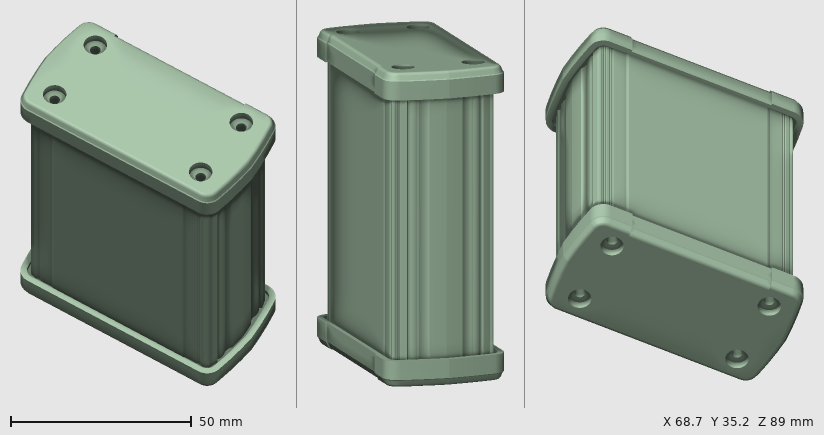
import cadquery as cq
import math

overall_length = 89.0
cap_half_width = 34.35
cap_half_depth = 17.6

cap_height = 7.6
cap_corner_x = 31.95
cap_lap = 7.1
cap_lap_half_width = 34.5
cap_corner_radius = 4.45
rim_width = 1.8
cap_floor = 6.2
recess_depth = cap_height - cap_floor

slope_height = 2.0
edge_chamfer = 0.3
chamfer_taper = 45
slope_taper = 23.5
edge_fillet = 1.2

relief_depth = 0.5
relief_half_width = 21.5

hole_half_spacing_x = 24.2
hole_half_spacing_y = 10.2
hole_diameter = 2.9
counterbore_diameter = 6.5
counterbore_depth = 2.5

housing_length = overall_length - 2 * cap_floor
housing_half_width = 31.5
panel_y = 15.0
panel_half_width = 21.4
panel_ramp = 0.8
strip_y = 14.8
strip_half_width = 25.9

groove_pitch = 0.6
groove_depth = 0.3
strip_groove_count = 2
corner_groove_count = 6
corner_radius = 1.9
corner_center_x = 28.1
corner_center_y = strip_y - corner_radius

flank_x = 30.5
flank_y = 11.2
valley_x = 29.7
valley_y = 10.6
shoulder_x = 30.4
shoulder_outer_y = 8.2
shoulder_inner_y = 7.65
crown_edge_x = 31.1
crown_edge_y = 4.8
crown_bulge = 0.045
hollow_sag = 0.45
rib_bulge = 0.4


def bowed_middle(start, end, bow):
    """Point beside the middle of a chord, pushed by bow to the right of start -> end."""
    dx = end[0] - start[0]
    dy = end[1] - start[1]
    chord = math.hypot(dx, dy)
    return ((start[0] + end[0]) / 2 + bow * dy / chord, (start[1] + end[1]) / 2 - bow * dx / chord)


def corner_point(radius, angle):
    """Point on a circle about the centre of the housing corner, angle in degrees."""
    turn = math.radians(angle)
    return (corner_center_x + radius * math.cos(turn), corner_center_y + radius * math.sin(turn))


def grip_points():
    """Zigzag points of the V grooves on the strip and around the corner."""
    points = []
    for i in range(strip_groove_count):
        groove_start = strip_half_width + i * groove_pitch
        points.append((groove_start, strip_y))
        points.append((groove_start + groove_pitch / 2, strip_y - groove_depth))
    points.append((strip_half_width + strip_groove_count * groove_pitch, strip_y))

    groove_angle = 90 / corner_groove_count
    for i in range(corner_groove_count):
        ridge_angle = 90 - i * groove_angle
        points.append(corner_point(corner_radius, ridge_angle))
        points.append(corner_point(corner_radius - groove_depth, ridge_angle - groove_angle / 2))
    points.append(corner_point(corner_radius, 0))
    return points


def housing_quarter():
    """Open wire from the panel edge round the corner to the middle of the side."""
    panel_edge = (panel_half_width, panel_y)
    strip_start = (panel_half_width + panel_ramp, strip_y)
    flank = (flank_x, flank_y)
    valley = (valley_x, valley_y)
    shoulder_outer = (shoulder_x, shoulder_outer_y)
    shoulder_inner = (shoulder_x, shoulder_inner_y)
    crown_edge = (crown_edge_x, crown_edge_y)
    crown_middle = (housing_half_width, 0)
    return (
        cq.Workplane("XY")
        .polyline([panel_edge, strip_start, *grip_points(), flank, valley])
        .threePointArc(bowed_middle(valley, shoulder_outer, -rib_bulge), shoulder_outer)
        .lineTo(*shoulder_inner)
        .threePointArc(bowed_middle(shoulder_inner, crown_edge, hollow_sag), crown_edge)
        .threePointArc(bowed_middle(crown_edge, crown_middle, -crown_bulge), crown_middle)
        .wire()
        .val()
    )


def screw_positions():
    """Centres of the four screw holes."""
    return [(x, y) for x in (-hole_half_spacing_x, hole_half_spacing_x)
            for y in (-hole_half_spacing_y, hole_half_spacing_y)]


def make_housing():
    """Extruded housing between the floors of the two caps."""
    quarter = housing_quarter()
    right_side = [quarter, quarter.mirror("XZ")]
    left_side = [wire.mirror("YZ") for wire in right_side]
    panels = [
        cq.Wire.assembleEdges([cq.Edge.makeLine(
            cq.Vector(-panel_half_width, y), cq.Vector(panel_half_width, y))])
        for y in (-panel_y, panel_y)
    ]
    outline = cq.Wire.combine([*right_side, *left_side, *panels])[0]
    body = cq.Workplane("XY").add(outline).toPending().extrude(housing_length)
    holes = (
        cq.Workplane("XY")
        .pushPoints(screw_positions())
        .circle(hole_diameter / 2)
        .extrude(housing_length)
    )
    return body.cut(holes).translate((0, 0, -housing_length / 2))


def half_cap_plate(height):
    """Plate for the +Y half of a cap, running on past Y = 0 by the lap."""
    return (
        cq.Workplane("XY")
        .moveTo(-cap_lap_half_width, -cap_lap)
        .lineTo(cap_lap_half_width, -cap_lap)
        .threePointArc((cap_half_width, 0), (cap_corner_x, cap_half_depth))
        .lineTo(-cap_corner_x, cap_half_depth)
        .threePointArc((-cap_half_width, 0), (-cap_lap_half_width, -cap_lap))
        .close()
        .extrude(height)
        .edges("|Z and >Y")
        .fillet(cap_corner_radius)
    )


def both_halves(plate):
    """Whole cap shape from a +Y half trimmed at Y = 0 and its mirror image."""
    trim = (
        cq.Workplane("XY")
        .box(2 * (cap_half_width + cap_lap), 2 * cap_lap, 2 * cap_height)
        .translate((0, -cap_lap, 0))
    )
    half = plate.cut(trim)
    return half.union(half.mirror("XZ"))


def tapered_layer(base, height, taper):
    """Layer that grows from the top face of base and narrows by taper degrees."""
    return (
        base.faces(">Z")
        .wires()
        .toPending()
        .workplane()
        .extrude(height, taper=taper, combine=False)
    )


def edged_blank():
    """Cap blank whose closed face is bordered by a chamfer, a slope and a rounded edge."""
    wall = half_cap_plate(cap_height - edge_chamfer - slope_height)
    chamfer = tapered_layer(wall, edge_chamfer, chamfer_taper)
    slope = tapered_layer(chamfer, slope_height, slope_taper)
    crown = slope.faces(">Z").edges("not <Y").fillet(edge_fillet)
    return both_halves(wall.union(chamfer).union(crown))


def make_cap():
    """Cap with its open rim at Z = 0 and its closed face on top."""
    blank = edged_blank()
    relief = (
        cq.Workplane("XY")
        .box(2 * relief_half_width, cap_half_depth, cap_height, centered=(True, False, False))
        .cut(blank.translate((0, -relief_depth, 0)))
    )

    recess = both_halves(
        half_cap_plate(recess_depth)
        .faces("<Z")
        .wires()
        .toPending()
        .offset2D(-rim_width)
        .extrude(recess_depth, combine=False)
    )
    return (
        blank.cut(relief)
        .cut(recess)
        .faces(">Z")
        .workplane(origin=(0, 0, cap_height))
        .pushPoints(screw_positions())
        .cboreHole(hole_diameter, counterbore_diameter, counterbore_depth)
    )


housing = make_housing()
top_cap = make_cap().translate((0, 0, overall_length / 2 - cap_height))
bottom_cap = top_cap.mirror("XY")

result = cq.Compound.makeCompound([body.solids().val() for body in (housing, top_cap, bottom_cap)])